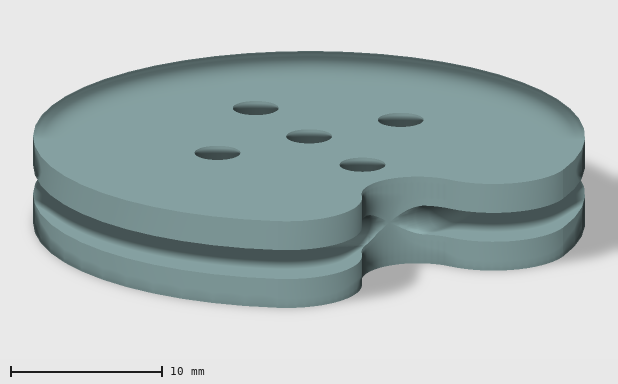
import cadquery as cq
import math

disc_radius = 18.2
thickness = 6.0

groove_width = 2.0
groove_floor_radius = 10.5

notch_depth_x = 10.5
lobe_radius = 5.0
lobe_tip_x = 15.57

hole_diameter = 3.02
hole_spacing = 7.0

lobe_x = lobe_tip_x - lobe_radius
lobe_distance = disc_radius - lobe_radius
lobe_y = math.sqrt(lobe_distance**2 - lobe_x**2)
lobe_offset_x = lobe_x - notch_depth_x
notch_radius = (lobe_offset_x**2 + lobe_y**2 - lobe_radius**2) / (2 * (lobe_radius + lobe_offset_x))
notch_x = notch_depth_x + notch_radius

rim_scale = disc_radius / lobe_distance
rim_x = lobe_x * rim_scale
rim_y = lobe_y * rim_scale
notch_share = notch_radius / (notch_radius + lobe_radius)
blend_x = notch_x + (lobe_x - notch_x) * notch_share
blend_y = lobe_y * notch_share


def make_body():
    """Disc with the notch and its two lobes."""
    return (
        cq.Workplane("XY")
        .moveTo(rim_x, rim_y)
        .threePointArc((-disc_radius, 0), (rim_x, -rim_y))
        .threePointArc((lobe_tip_x, -lobe_y), (blend_x, -blend_y))
        .threePointArc((notch_depth_x, 0), (blend_x, blend_y))
        .threePointArc((lobe_tip_x, lobe_y), (rim_x, rim_y))
        .close()
        .extrude(thickness)
    )


def make_groove():
    """Ring that cuts the rim groove with its half-round floor."""
    middle_z = thickness / 2
    half_width = groove_width / 2
    floor_edge = groove_floor_radius + half_width
    outside = disc_radius + half_width
    return (
        cq.Workplane("XZ")
        .moveTo(outside, middle_z - half_width)
        .lineTo(floor_edge, middle_z - half_width)
        .threePointArc((groove_floor_radius, middle_z), (floor_edge, middle_z + half_width))
        .lineTo(outside, middle_z + half_width)
        .close()
        .revolve(360, (0, 0, 0), (0, 1, 0))
    )


def make_holes():
    """Through holes in a cross pattern."""
    hole_centres = [
        (0, 0),
        (hole_spacing, 0),
        (-hole_spacing, 0),
        (0, hole_spacing),
        (0, -hole_spacing),
    ]
    return cq.Workplane("XY").pushPoints(hole_centres).circle(hole_diameter / 2).extrude(thickness)


result = make_body().cut(make_groove()).cut(make_holes())